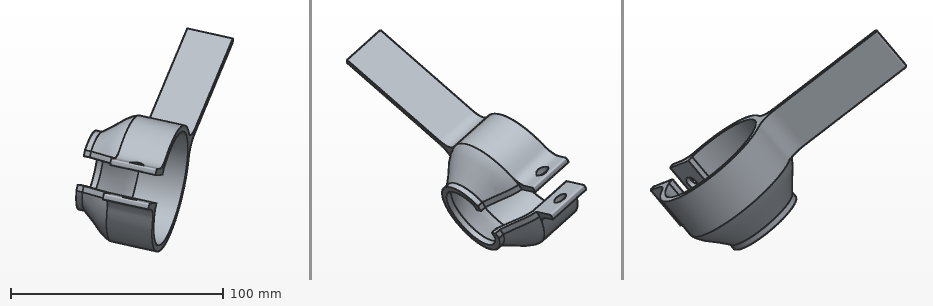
import cadquery as cq
import math

wall = 3.0
neck_length = 3.0
shoulder_length = 15.5
band_width = 22.5
neck_radius = 19.2
band_radius = 30.5
shoulder_start_slope = 0.65
shoulder_end_slope = 0.3
shoulder_mid_rise = 6.3

handle_reach = 100.5
root_fillet = 10.0

slot_half_gap = 6.8
tab_reach = 42.0
tip_fillet = 1.0
bolt_diameter = 6.5
slot_angle = 45

band_start = neck_length + shoulder_length
band_end = band_start + band_width
band_middle = band_start + band_width / 2
slot_outer_half = slot_half_gap + wall
tab_root = math.sqrt(band_radius**2 - slot_outer_half**2)
bolt_reach = (tab_root + tab_reach) / 2


def turned_solid(inset):
    """Full solid inside the ring's outer surface, or inside its bore when inset by the wall."""
    neck = neck_radius - inset
    band = band_radius - inset
    shoulder_middle = (neck_length + shoulder_length / 2, neck + shoulder_mid_rise)
    return (
        cq.Workplane("XY")
        .lineTo(0, neck)
        .lineTo(neck_length, neck)
        .spline(
            [shoulder_middle, (band_start, band)],
            tangents=[(1, shoulder_start_slope), (1, shoulder_end_slope)],
            includeCurrent=True,
        )
        .lineTo(band_end, band)
        .lineTo(band_end, 0)
        .close()
        .revolve(360, (0, 0, 0), (1, 0, 0))
    )


def plate(bottom, reach):
    """Plate along -Y, from inside the band wall to a rounded tip, one wall thick above z = bottom."""
    root = math.sqrt(band_radius**2 - (bottom + wall) ** 2) - wall / 2
    return (
        cq.Workplane("XY")
        .box(band_width, reach - root, wall, centered=False)
        .translate((band_start, -reach, bottom))
        .edges("|X and <Y")
        .fillet(tip_fillet)
    )


def root_blend(face):
    """Concave fillet between the band and a plate face at z = face, on the +Z side of the plate."""
    centre_z = face + root_fillet
    centre_radius = band_radius + root_fillet
    centre_reach = math.sqrt(centre_radius**2 - centre_z**2)
    contact = band_radius / centre_radius
    root = math.sqrt(band_radius**2 - face**2)
    web = (
        cq.Workplane("YZ", origin=(band_start, 0, 0))
        .moveTo(-root, face)
        .lineTo(-centre_reach, face)
        .lineTo(-centre_reach, centre_z)
        .lineTo(-centre_reach * contact, centre_z * contact)
        .close()
        .extrude(band_width)
    )
    round_cut = (
        cq.Workplane("YZ", origin=(band_start, 0, 0))
        .center(-centre_reach, centre_z)
        .circle(root_fillet)
        .extrude(band_width)
    )
    return web.cut(round_cut)


def handle():
    """Flat handle along +Y, blended into the band above and below."""
    upper_blend = root_blend(wall / 2)
    lower_blend = upper_blend.mirror("XY")
    return plate(-wall / 2, handle_reach).union(upper_blend).union(lower_blend).mirror("XZ")


def slot_side(slotted_ring):
    """Lip and clamp tab on the +Z side of a slot running along -Y."""
    cut_face = slotted_ring.faces("|Z").faces(">Z")
    lip = (
        cq.Workplane("XY", origin=(0, 0, slot_outer_half))
        .add(cut_face.wires().vals())
        .toPending()
        .extrude(-wall)
    )
    return lip.union(plate(slot_half_gap, tab_reach)).union(root_blend(slot_outer_half))


ring = turned_solid(0).cut(turned_solid(wall))
slot = (
    cq.Workplane("XY")
    .box(band_end, tab_reach, 2 * slot_outer_half, centered=False)
    .translate((0, -tab_reach, -slot_outer_half))
)
slotted_ring = ring.cut(slot)
upper_side = slot_side(slotted_ring)
lower_side = upper_side.mirror("XY")
bolt_hole = (
    cq.Workplane("XY")
    .center(band_middle, -bolt_reach)
    .circle(bolt_diameter / 2)
    .extrude(tab_reach, both=True)
)

clamp = slotted_ring.union(upper_side).union(lower_side).cut(bolt_hole)
result = clamp.rotate((0, 0, 0), (1, 0, 0), -slot_angle).union(handle())